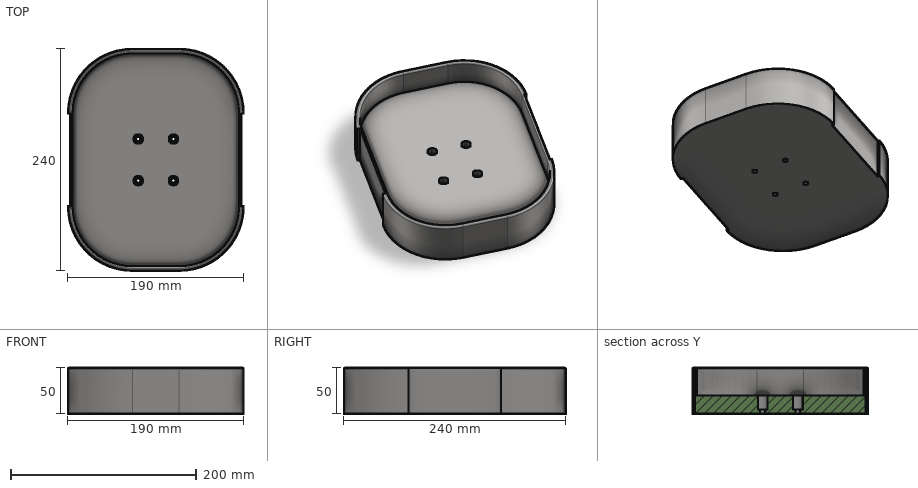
import cadquery as cq

length_x = 190.0
length_y = 240.0
height = 50.0
corner_radius = 70.0
wall = 5.0
floor = 20.0
rim_fillet = 2.0

recess_depth = 2.5
recess_length = length_y - 2 * corner_radius

hole_diameter = 5.0
counterbore_diameter = 10.0
screw_seat = 5.0
counterbore_depth = floor - screw_seat
hole_spacing_x = 38.0
hole_spacing_y = 45.0


def rounded_block(size_x, size_y, radius, bottom_z):
    """Block with rounded vertical corners, from bottom_z up to the rim."""
    return (
        cq.Workplane("XY", origin=(0, 0, bottom_z))
        .rect(size_x, size_y)
        .extrude(height - bottom_z)
        .edges("|Z")
        .fillet(radius)
    )


def make_tray():
    """Open tray with the inner and outer edges of its rim rounded."""
    outer = rounded_block(length_x, length_y, corner_radius, 0)
    cavity = rounded_block(length_x - 2 * wall, length_y - 2 * wall, corner_radius - wall, floor)
    return outer.cut(cavity).faces(">Z").edges().fillet(rim_fillet)


def cut_side_recesses(tray):
    """Thin the straight part of both long walls from the outside."""
    for side in (-1, 1):
        recess = (
            cq.Workplane("XY")
            .center(side * (length_x - recess_depth) / 2, 0)
            .rect(recess_depth, recess_length)
            .extrude(height)
        )
        tray = tray.cut(recess)
    return tray


def cut_mounting_holes(tray):
    """Four through holes, counterbored from inside the tray."""
    return (
        tray.copyWorkplane(cq.Workplane("XY", origin=(0, 0, floor)))
        .rect(hole_spacing_x, hole_spacing_y, forConstruction=True)
        .vertices()
        .cboreHole(hole_diameter, counterbore_diameter, counterbore_depth)
    )


result = cut_mounting_holes(cut_side_recesses(make_tray()))